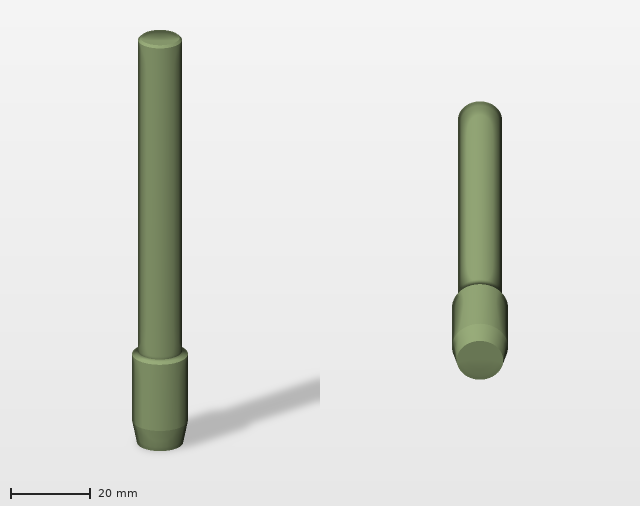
import cadquery as cq

total_length = 110.0

head_diameter = 14.0
head_length = 24.0
point_diameter = 11.6
lead_length = 6.0

shank_diameter = 11.0
shoulder_height = 0.8
end_chamfer = 0.6

head_radius = head_diameter / 2
point_radius = point_diameter / 2
shank_radius = shank_diameter / 2
shoulder_top = head_length + shoulder_height


def revolve_profile(points):
    """Turn a closed (radius, height) outline around the Z axis."""
    return cq.Workplane("XZ").polyline(points).close().revolve(360, (0, 0, 0), (0, 1, 0))


def make_cutting_head():
    """Solid cylinder with a tapered lead down to the flat point."""
    return revolve_profile([
        (0, 0),
        (point_radius, 0),
        (head_radius, lead_length),
        (head_radius, head_length),
        (0, head_length),
    ])


def make_shank():
    """Round bar with a conical shoulder seated on the head and a chamfered free end."""
    return revolve_profile([
        (0, head_length),
        (head_radius, head_length),
        (shank_radius, shoulder_top),
        (shank_radius, total_length - end_chamfer),
        (shank_radius - end_chamfer, total_length),
        (0, total_length),
    ])


cutting_head = make_cutting_head()
shank = make_shank()

result = cq.Compound.makeCompound([cutting_head.val(), shank.val()])